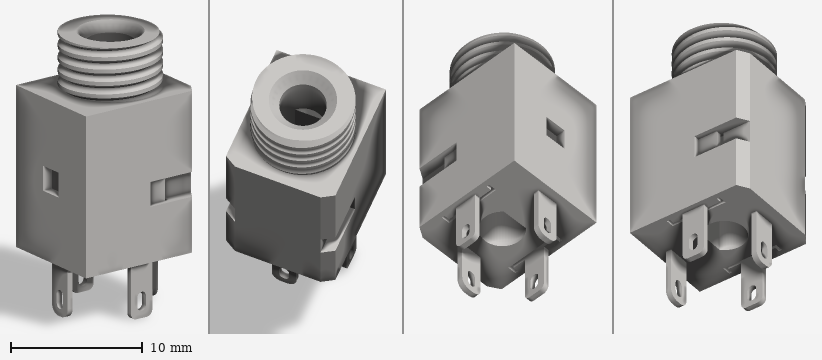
import cadquery as cq
import math

overall_height = 22.0
body_width = 9.0
body_depth = 10.6
body_height = 13.02
leg_length = 4.49
bore_to_rear = 5.0

neck_diameter = 8.0
thread_turns = 4.5
groove_depth = 0.48
groove_width = 0.68
groove_phase = 0.2
bore_diameter = 3.6
countersink_diameter = 5.2
bore_flat_offset = 1.35

sheet = 0.48
leg_width = 2.0
front_inset = 0.84
rear_terminal_face = 3.75
side_blade_width = 4.42
side_slot_clearance = 0.26

window_height = leg_width
side_window_drop = 1.01
side_window_start = 0.48

front_corner = 0.81
side_corner = 0.5
solder_slot_width = 0.8
solder_slot_bottom = 0.6
solder_slot_top = 2.11
low_slot_bottom = 0.46
low_slot_top = 1.87

neck_radius = neck_diameter / 2
neck_height = overall_height - body_height - leg_length
pitch = neck_height / thread_turns
front_y = bore_to_rear - body_depth
front_terminal_y = front_y + front_inset + sheet / 2
rear_terminal_y = rear_terminal_face - sheet / 2
side_terminal_x = neck_radius - sheet / 2
side_window_floor = neck_radius - sheet
rear_blade_width = 2 * side_window_floor
corner_cut_x = body_width / 2 - side_window_floor
corner_cut_y = 0.6
front_window_z = body_height / 2
side_window_z = front_window_z - side_window_drop
front_blade_top = front_window_z + window_height / 2
side_blade_top = side_window_z + window_height / 2


def box_between(x0, x1, y0, y1, z0, z1):
    """Axis-aligned box between two opposite corners."""
    return cq.Workplane("XY").box(x1 - x0, y1 - y0, z1 - z0, centered=False).translate((x0, y0, z0))


def upright_sheet(width, height, y):
    """Sheet-thick plate parallel to XZ, standing on the underside of the body."""
    return box_between(-width / 2, width / 2, y - sheet / 2, y + sheet / 2, 0, height)


def make_neck():
    """Neck with a right-hand V groove that runs out at both ends."""
    neck = cq.Workplane("XY").circle(neck_radius).extrude(neck_height)
    overshoot = 0.1
    half_width = groove_width / 2 * (1 + overshoot)
    root = neck_radius - groove_depth
    mouth = neck_radius + groove_depth * overshoot
    start = (groove_phase - 1) * pitch
    path = cq.Wire.makeHelix(pitch, (math.ceil(thread_turns) + 1) * pitch, neck_radius)
    groove = (
        cq.Workplane("XZ")
        .polyline([(root, 0), (mouth, half_width), (mouth, -half_width)])
        .close()
        .sweep(cq.Workplane(path), isFrenet=True)
        .translate((0, 0, start))
    )
    return neck.cut(groove).translate((0, 0, body_height))


def make_block():
    """Rectangular block with its two rear vertical edges cut off."""
    half = body_width / 2
    return (
        cq.Workplane("XY")
        .moveTo(-half, front_y)
        .lineTo(half, front_y)
        .lineTo(half, bore_to_rear - corner_cut_y)
        .lineTo(half - corner_cut_x, bore_to_rear)
        .lineTo(corner_cut_x - half, bore_to_rear)
        .lineTo(-half, bore_to_rear - corner_cut_y)
        .close()
        .extrude(body_height)
    )


def make_bore():
    """Countersunk bore, with a flat on its front side below the neck."""
    bore_radius = bore_diameter / 2
    top = body_height + neck_height
    sink_radius = countersink_diameter / 2
    sink_depth = sink_radius - bore_radius
    bore = cq.Workplane("XY").circle(bore_radius).extrude(top)
    flat = box_between(-bore_radius, bore_radius, -bore_radius, -bore_flat_offset, 0, body_height)
    countersink = cq.Solid.makeCone(bore_radius, sink_radius, sink_depth, cq.Vector(0, 0, top - sink_depth))
    return bore.cut(flat).union(cq.Workplane(countersink))


def make_housing():
    housing = make_block().union(make_neck()).cut(make_bore())

    housing = housing.cut(upright_sheet(leg_width, front_blade_top, front_terminal_y))
    front_window = box_between(
        -leg_width / 2, leg_width / 2,
        front_y, front_y + front_inset,
        front_window_z - window_height / 2, front_blade_top,
    )
    housing = housing.cut(front_window)

    housing = housing.cut(upright_sheet(rear_blade_width, side_blade_top, rear_terminal_y))

    slot_half_width = side_blade_width / 2 + side_slot_clearance
    for side in (-1, 1):
        slot_x = sorted((side * (side_window_floor - side_slot_clearance), side * neck_radius))
        housing = housing.cut(box_between(*slot_x, -slot_half_width, slot_half_width, 0, side_blade_top))
        window_x = sorted((side * side_window_floor, side * body_width / 2))
        side_window = box_between(
            *window_x,
            side_window_start, bore_to_rear,
            side_window_z - window_height / 2, side_blade_top,
        )
        housing = housing.cut(side_window)
    return housing


def make_terminal(blade_width, blade_top, corner, slot_bottom, slot_top):
    """Sheet terminal parallel to XZ, centred on Y = 0."""
    blade = upright_sheet(blade_width, blade_top, 0)
    leg = (
        box_between(-leg_width / 2, leg_width / 2, -sheet / 2, sheet / 2, -leg_length, 0)
        .edges("|Y and <Z")
        .fillet(corner)
    )
    solder_slot = (
        cq.Workplane("XZ")
        .center(0, (slot_bottom + slot_top) / 2 - leg_length)
        .slot2D(slot_top - slot_bottom, solder_slot_width, 90)
        .extrude(sheet, both=True)
    )
    return blade.union(leg).cut(solder_slot)


def make_front_terminal():
    """Straight strip behind the front window."""
    terminal = make_terminal(
        leg_width, front_blade_top, front_corner, solder_slot_bottom, solder_slot_top
    )
    return terminal.translate((0, front_terminal_y, 0))


def make_rear_terminal():
    """Wide blade whose ends show in both side windows."""
    terminal = make_terminal(
        rear_blade_width, side_blade_top, front_corner, solder_slot_bottom, solder_slot_top
    )
    return terminal.translate((0, rear_terminal_y, 0))


def make_side_terminal(side, slot_bottom, slot_top):
    """Terminal turned to face sideways, on the -X (side = -1) or +X (side = 1) wall."""
    terminal = make_terminal(side_blade_width, side_blade_top, side_corner, slot_bottom, slot_top)
    return terminal.rotate((0, 0, 0), (0, 0, 1), 90).translate((side * side_terminal_x, 0, 0))


housing = make_housing()
front_terminal = make_front_terminal()
rear_terminal = make_rear_terminal()
side_terminals = [
    make_side_terminal(side, slot_bottom, slot_top)
    for side, slot_bottom, slot_top in (
        (-1, low_slot_bottom, low_slot_top),
        (1, solder_slot_bottom, solder_slot_top),
    )
]

result = cq.Compound.makeCompound(
    [
        housing.val(),
        front_terminal.val(),
        rear_terminal.val(),
        *[terminal.val() for terminal in side_terminals],
    ]
)